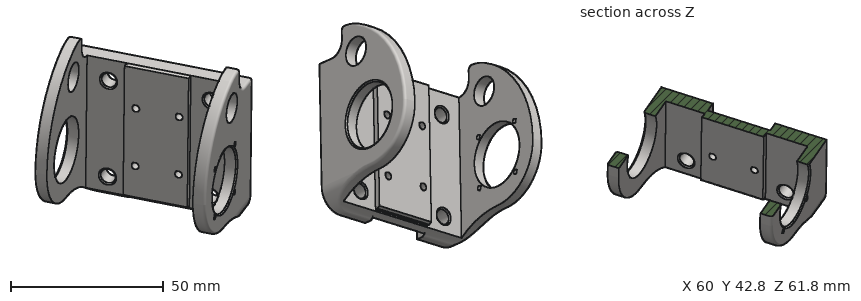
import cadquery as cq
import math


LEAN_ANGLE = 1.5
WIDTH = 60.0
ARM_THICKNESS = 4.4
PLATE_THICKNESS = 5.8
FOOT_DROP = 52.0
CORNER_RADIUS = 8.0
EDGE_RADIUS = 1.0
CHAMFER_ANGLE = 45.0

MAIN_HOLE_REACH = 24.1
MAIN_HOLE_DROP = 26.0
LOBE_RADIUS = 18.0
BROW_RADIUS = 36.75
CROWN_RADIUS = 18.0
CROWN_REACH = 12.1
UNDERCUT_RADIUS = 32.0
NOTCH_RADIUS = 5.0
HORN_RADIUS = 1.6

MAIN_HOLE_DIAMETER = 22.5
MAIN_HOLE_CHAMFER = 0.5
CABLE_HOLE_DIAMETER = 10.0
CABLE_HOLE_REACH = 18.3
CABLE_HOLE_DROP = 1.7
SCREW_DIAMETER = 1.6
SCREW_SPACING = 18.0

MOUNT_DIAMETER = 5.18
MOUNT_SPACING = 36.0
MOUNT_CENTER_DROP = 26.0
MOUNT_CHAMFER = 0.5
PAD_WIDTH = 22.5
PAD_OFFSET = -0.45
PAD_THICKNESS = 2.0
PAD_TOP_DROP = 0.05
PAD_BOTTOM_DROP = 49.1
PAD_HOLE_DIAMETER = 2.5
PAD_HOLE_SPACING_X = 15.2
PAD_HOLE_SPACING_Z = 21.6
PAD_HOLE_CENTER_DROP = MOUNT_CENTER_DROP
POCKET_WIDTH = 22.5
POCKET_DEPTH = 3.8
POCKET_TOP_DROP = 4.0

HALF_WIDTH = WIDTH / 2
INNER_HALF_WIDTH = HALF_WIDTH - ARM_THICKNESS
PAD_FACE_REACH = PLATE_THICKNESS + PAD_THICKNESS


def polar(center, radius, degrees):
    """Point on a circle in (Y, Z); 0 degrees is +Y and 90 degrees is +Z."""
    angle = math.radians(degrees)
    return (center[0] + radius * math.cos(angle), center[1] + radius * math.sin(angle))


def arm_outline():
    """Side outline in the YZ plane, ordered from the top of the back face round to the foot."""
    lobe_center = (-MAIN_HOLE_REACH, -MAIN_HOLE_DROP)
    lobe_front = polar(lobe_center, LOBE_RADIUS, 180)
    lobe_bottom = polar(lobe_center, LOBE_RADIUS, 270)

    brow_center = (lobe_front[0] + BROW_RADIUS, lobe_front[1])

    center_gap = BROW_RADIUS - CROWN_RADIUS
    crown_shift = -CROWN_REACH - brow_center[0]
    crown_rise = math.sqrt(center_gap**2 - crown_shift**2)
    crown_center = (-CROWN_REACH, brow_center[1] + crown_rise)
    joint_angle = math.degrees(math.atan2(crown_rise, crown_shift))
    brow_top = polar(brow_center, BROW_RADIUS, joint_angle)
    brow_middle = polar(brow_center, BROW_RADIUS, (joint_angle + 180) / 2)

    horn_y = -PLATE_THICKNESS - NOTCH_RADIUS
    horn_angle = math.degrees(math.acos((horn_y - crown_center[0]) / CROWN_RADIUS))
    horn = polar(crown_center, CROWN_RADIUS, horn_angle)
    crown_middle = polar(crown_center, CROWN_RADIUS, (horn_angle + joint_angle) / 2)

    notch_center = (-PLATE_THICKNESS, NOTCH_RADIUS)
    notch_start = polar(notch_center, NOTCH_RADIUS, 270)
    notch_middle = polar(notch_center, NOTCH_RADIUS, 225)
    notch_end = polar(notch_center, NOTCH_RADIUS, 180)

    undercut_center = (lobe_bottom[0], lobe_bottom[1] - UNDERCUT_RADIUS)
    foot_angle = math.degrees(math.asin((-FOOT_DROP - undercut_center[1]) / UNDERCUT_RADIUS))
    undercut_middle = polar(undercut_center, UNDERCUT_RADIUS, (90 + foot_angle) / 2)
    foot_front = polar(undercut_center, UNDERCUT_RADIUS, foot_angle)

    return (
        cq.Workplane("YZ", origin=(-HALF_WIDTH, 0, 0))
        .moveTo(0, 0)
        .lineTo(*notch_start)
        .threePointArc(notch_middle, notch_end)
        .lineTo(*horn)
        .threePointArc(crown_middle, brow_top)
        .threePointArc(brow_middle, lobe_front)
        .threePointArc(polar(lobe_center, LOBE_RADIUS, 225), lobe_bottom)
        .threePointArc(undercut_middle, foot_front)
        .lineTo(0, -FOOT_DROP)
        .close()
    )


def block(x_center, width, reach_range, drop_range):
    """Box given by its X centre and width, its reach range and its drop range."""
    near, far = reach_range
    top, bottom = drop_range
    return cq.Workplane("XY").box(width, far - near, bottom - top).translate(
        (x_center, -(near + far) / 2, -(top + bottom) / 2)
    )


def outer_body():
    """Full-width body with rounded lower corners and its outer side edges softened."""
    horn_y = -PLATE_THICKNESS - NOTCH_RADIUS
    horn_edge = cq.selectors.BoxSelector(
        (-WIDTH, horn_y - HORN_RADIUS, NOTCH_RADIUS + HORN_RADIUS),
        (WIDTH, horn_y + HORN_RADIUS, FOOT_DROP),
    )
    side_shape = arm_outline().extrude(WIDTH).edges("|X").edges(horn_edge).fillet(HORN_RADIUS)

    front_shape = block(0, WIDTH, (0, FOOT_DROP), (-FOOT_DROP, FOOT_DROP))
    front_shape = front_shape.edges("|Y and <Z").fillet(CORNER_RADIUS)
    body = side_shape.intersect(front_shape, clean=False)

    return body.faces("<X").edges("not (>Y or <Z)").fillet(EDGE_RADIUS)


def fork_opening():
    """Space between the arms, in front of the plate."""
    reach_range = (PLATE_THICKNESS, WIDTH)
    return block(0, 2 * INNER_HALF_WIDTH, reach_range, (-FOOT_DROP, 2 * FOOT_DROP))


def pad(body):
    """Raised pad on the plate, trimmed below by the undercut of the body."""
    reach_range = (PLATE_THICKNESS, PAD_FACE_REACH)
    return block(PAD_OFFSET, PAD_WIDTH, reach_range, (PAD_TOP_DROP, PAD_BOTTOM_DROP)).intersect(body)


def back_pocket():
    """Pocket in the back face, open at the foot."""
    return block(0, POCKET_WIDTH, (0, POCKET_DEPTH), (POCKET_TOP_DROP, 2 * FOOT_DROP))


def plate_holes(diameter, spacing_x, spacing_z, center_drop, length):
    """Four holes in a rectangle, running forward from the back face."""
    return (
        cq.Workplane("XZ", origin=(0, 0, -center_drop))
        .rarray(spacing_x, spacing_z, 2, 2)
        .circle(diameter / 2)
        .extrude(length)
    )


def mount_countersinks():
    """Small conical lead-ins where the mounting holes meet the front of the plate."""
    return (
        cq.Workplane("XZ", origin=(0, -PLATE_THICKNESS, -MOUNT_CENTER_DROP))
        .rarray(MOUNT_SPACING, MOUNT_SPACING, 2, 2)
        .circle(MOUNT_DIAMETER / 2 + MOUNT_CHAMFER)
        .extrude(-2 * MOUNT_CHAMFER, taper=CHAMFER_ANGLE)
    )


def arm_hole(diameter, reach, drop):
    """Hole along X through both arms."""
    return (
        cq.Workplane("YZ", origin=(-HALF_WIDTH, -reach, -drop))
        .circle(diameter / 2)
        .extrude(WIDTH)
    )


def main_hole_chamfers():
    """Conical lead-ins of the large holes on the outer faces of both arms."""
    left_cone = (
        cq.Workplane("YZ", origin=(-HALF_WIDTH, -MAIN_HOLE_REACH, -MAIN_HOLE_DROP))
        .circle(MAIN_HOLE_DIAMETER / 2 + MAIN_HOLE_CHAMFER)
        .extrude(2 * MAIN_HOLE_CHAMFER, taper=CHAMFER_ANGLE)
    )
    return left_cone.union(left_cone.mirror("YZ"))


def screw_holes():
    """Four small holes around the large hole of the right arm."""
    return (
        cq.Workplane("YZ", origin=(INNER_HALF_WIDTH, -MAIN_HOLE_REACH, -MAIN_HOLE_DROP))
        .rarray(SCREW_SPACING, SCREW_SPACING, 2, 2)
        .circle(SCREW_DIAMETER / 2)
        .extrude(ARM_THICKNESS)
    )


def bracket():
    """Complete upright bracket."""
    body = outer_body()
    part = body.cut(fork_opening()).union(pad(body))
    part = part.cut(back_pocket())
    part = part.cut(
        plate_holes(MOUNT_DIAMETER, MOUNT_SPACING, MOUNT_SPACING, MOUNT_CENTER_DROP, PLATE_THICKNESS)
    )
    part = part.cut(mount_countersinks())
    part = part.cut(
        plate_holes(
            PAD_HOLE_DIAMETER,
            PAD_HOLE_SPACING_X,
            PAD_HOLE_SPACING_Z,
            PAD_HOLE_CENTER_DROP,
            PAD_FACE_REACH,
        )
    )
    part = part.cut(arm_hole(MAIN_HOLE_DIAMETER, MAIN_HOLE_REACH, MAIN_HOLE_DROP))
    part = part.cut(arm_hole(CABLE_HOLE_DIAMETER, CABLE_HOLE_REACH, CABLE_HOLE_DROP))
    part = part.cut(main_hole_chamfers())
    return part.cut(screw_holes())


result = bracket().rotate((0, 0, 0), (1, 0, 0), -LEAN_ANGLE)